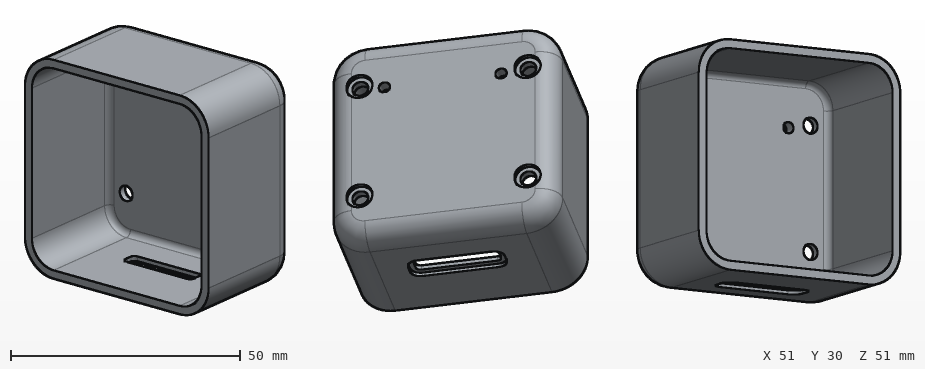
import cadquery as cq

side = 51.0
depth = 30.0
corner_radius = 8.0
back_edge_radius = 5.0

wall = 2.0
back_thickness = 3.0
floor_fillet_radius = 1.5
cavity_side = side - 2 * wall
cavity_depth = depth - back_thickness
cavity_corner_radius = corner_radius - wall

mount_hole_diameter = 3.5
mount_spacing_x = 37.5
mount_spacing_z = 27.95
counterbore_diameter = 5.8
counterbore_depth = 1.0

small_hole_diameter = 2.5
small_hole_spacing = 26.0
small_hole_center_x = 0.15
small_hole_z = 13.0

slot_length = 19.0
slot_width = 4.0
slot_center_y = 16.0
slot_corner_radius = 1.0
slot_lip_thickness = 1.1
recess_margin = 1.3


def rounded_block(size, length, edge_radius, end_radius):
    """Square block from Y = 0 to Y = length with rounded sides and a rounded back rim."""
    block = cq.Workplane("XZ").rect(size, size).extrude(-length)
    return block.edges("|Y").fillet(edge_radius).faces(">Y").edges().fillet(end_radius)


def back_bores(points, diameter, bore_depth):
    """Cylinders cut inward from the outer back face."""
    back_plane = cq.Workplane("XZ", origin=(0, depth, 0))
    return back_plane.pushPoints(points).circle(diameter / 2).extrude(bore_depth)


def slot_cutter(margin, height):
    """Rounded rectangular cutter rising from the outer bottom face, enlarged by a margin all round."""
    return (
        cq.Workplane("XY", origin=(0, slot_center_y, -side / 2))
        .rect(slot_length + 2 * margin, slot_width + 2 * margin)
        .extrude(height)
        .edges("|Z")
        .fillet(slot_corner_radius + margin)
    )


outer = rounded_block(side, depth, corner_radius, back_edge_radius)
cavity = rounded_block(cavity_side, cavity_depth, cavity_corner_radius, floor_fillet_radius)

mount_points = [
    (sign_x * mount_spacing_x / 2, sign_z * mount_spacing_z / 2)
    for sign_x in (-1, 1)
    for sign_z in (-1, 1)
]
small_points = [
    (small_hole_center_x + sign * small_hole_spacing / 2, small_hole_z)
    for sign in (-1, 1)
]

result = (
    outer.cut(cavity)
    .cut(back_bores(mount_points, mount_hole_diameter, back_thickness))
    .cut(back_bores(mount_points, counterbore_diameter, counterbore_depth))
    .cut(back_bores(small_points, small_hole_diameter, back_thickness))
    .cut(slot_cutter(0, wall))
    .cut(slot_cutter(recess_margin, wall - slot_lip_thickness))
)